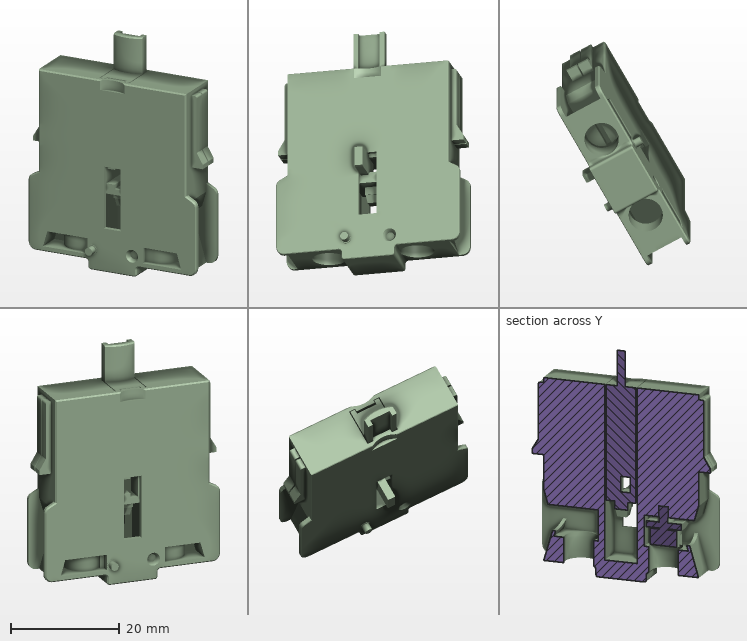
import cadquery as cq
import math

overall_depth = 14.7
body_depth = 9.1
half_depth = body_depth / 2
body_half_width = 15.3
body_top = 37.4
cheek_half_width = 17.4
cheek_thickness = 0.9
cheek_inner = half_depth - cheek_thickness
cheek_top = 17.45
cheek_shoulder = 16.3
cheek_fillet = 1.2
foot_half_width = 5.0
foot_corner = 0.5
foot_fillet = 0.6
base_z = 2.0
base_corner = 1.5
front_edge_chamfer = 0.25
back_edge_chamfer = 0.12

wall_slope = 0.29
terminal_x = 8.35
ceiling_outer_z = 15.86
chamber_roof = 12.92
chamber_floor = 7.0
chamber_inner_x = 4.6
ramp_thickness = 0.7
ramp_top = 9.3
saddle_radius = 6.6
saddle_low_z = 7.9
access_diameter = 6.3
tube_diameter = 7.0

window_bottom = 3.0
window_top = 6.05
window_outer_x = 14.3
left_window_inner_x = 5.1
right_window_inner_x = 6.4
left_step_x = 5.87
right_step_x = 8.3
left_step_depth = 1.56
right_step_depth = 1.05

channel_half_width = 3.16
channel_front_y = -3.63
channel_back_y = 3.75
channel_bottom = 3.5
tongue_half_width = 1.9
tongue_tip_y = 3.05
tongue_bottom = 34.4
slot_half_width = 1.72
slot_bottom = 8.5
slot_top = 20.6

thumb_half_width = 2.55
thumb_depth = 0.73
thumb_height = 1.93

locator_x = 4.12
locator_z = 4.0
pin_diameter = 1.5
pin_length = 1.5
pin_base_diameter = 1.9
pin_base_height = 0.12
socket_diameter = 2.5
socket_depth = 0.8

clip_half_width = 17.6
clip_bar_x = 16.33
clip_top = 36.45
clip_flare_top = 25.4
clip_flare_bottom = 23.3
clip_bottom = 22.43
clip_width = 2.05
clip_gap = 0.3
clip_fillet = 0.4

side_clearance = 0.2
end_clearance = 0.12
slider_half_width = channel_half_width - side_clearance
slider_front_y = channel_front_y + end_clearance
slider_back_y = channel_back_y - end_clearance
slider_notch_y = 2.6
slider_bottom = 15.0
pusher_top = 44.47
pusher_front_y = 1.24
pusher_arc_radius = 7.0
pusher_chamfer = 0.25
peg_half_width = 1.32
peg_taper_z = 13.5
peg_taper_half_width = 1.2
peg_tip_z = 12.0
peg_tip_half_width = 0.9
lever_width = 1.5
lever_bottom = 16.54
lever_top = 20.45
lever_tip_y = overall_depth - half_depth - pin_length
lever_tip_chamfer_y = 0.5
lever_tip_chamfer_z = 0.15
slider_window_bottom = 17.0
slider_window_top = 19.9
slider_pocket_bottom = 16.15
slider_pocket_top = 20.2

head_diameter = 5.9
head_top = 10.63
head_bottom = 7.4
head_slot_width = 1.1
head_slot_top = 9.5
shank_diameter = 3.2
shank_top = 15.0
clamp_size = 7.0
clamp_corner = 0.45
clamp_thickness = 1.24
clamp_radius = 7.5


def box_between(x_range, y_range, z_range):
    size = [high - low for low, high in (x_range, y_range, z_range)]
    corner = (x_range[0], y_range[0], z_range[0])
    return cq.Workplane("XY").box(*size, centered=False).translate(corner)


def extrude_along_y(points, y_range):
    """Solid from an outline of (x, z) points, filling the given range of Y."""
    outline = cq.Workplane("XZ", origin=(0, y_range[0], 0)).polyline(points).close()
    return outline.extrude(y_range[0] - y_range[1])


def upright_cylinder(x, diameter, z_range):
    base = cq.Workplane("XY", origin=(x, 0, z_range[0]))
    return base.circle(diameter / 2).extrude(z_range[1] - z_range[0])


def cylinder_along_x(x_range, z, radius):
    base = cq.Workplane("YZ", origin=(x_range[0], 0, z))
    return base.circle(radius).extrude(x_range[1] - x_range[0])


def mirrored(points):
    """Outline continued on the -X side, from the right half listed bottom to top."""
    return points + [(-x, z) for x, z in reversed(points)]


def housing_block():
    """The full silhouette with its rounded corners and bevelled rim."""
    right_half = [
        (foot_half_width, 0),
        (foot_half_width, base_z),
        (cheek_half_width, base_z),
        (cheek_half_width, cheek_shoulder),
        (body_half_width, cheek_top),
        (body_half_width, body_top),
    ]
    block = extrude_along_y(mirrored(right_half), (-half_depth, half_depth))
    roundings = [
        (foot_half_width, 0, foot_corner),
        (foot_half_width, base_z, foot_fillet),
        (cheek_half_width, base_z, base_corner),
        (cheek_half_width, cheek_shoulder, cheek_fillet),
    ]
    reach = 0.1
    for x, z, radius in roundings:
        for side in (-1, 1):
            corner = cq.selectors.BoxSelector(
                (side * x - reach, -half_depth, z - reach),
                (side * x + reach, half_depth, z + reach),
            )
            block = block.edges("|Y").edges(corner).fillet(radius)
    block = block.faces("<Y").edges().chamfer(front_edge_chamfer)
    return block.faces(">Y").edges().chamfer(back_edge_chamfer)


def terminal_opening():
    """Space between the cheeks at the +X end: sloped ceiling, chamber and ramp."""
    margin = 1.0
    outside_x = cheek_half_width + margin
    outside_z = cheek_top + margin
    ramp_top_x = body_half_width - (ramp_top - base_z) * wall_slope
    ceiling_inner_x = body_half_width - (ceiling_outer_z - chamber_roof) * wall_slope
    ramp_foot_x = body_half_width - (chamber_floor - base_z) * wall_slope
    between_cheeks = (-cheek_inner, cheek_inner)
    outline = [
        (outside_x, 0),
        (body_half_width, 0),
        (body_half_width, base_z),
        (ramp_top_x, ramp_top),
        (ramp_top_x - ramp_thickness, ramp_top),
        (ramp_foot_x - ramp_thickness, chamber_floor),
        (chamber_inner_x, chamber_floor),
        (chamber_inner_x, chamber_roof),
        (ceiling_inner_x, chamber_roof),
        (body_half_width, ceiling_outer_z),
        (body_half_width, outside_z),
        (outside_x, outside_z),
    ]
    opening = extrude_along_y(outline, between_cheeks)
    saddle = cylinder_along_x((terminal_x, body_half_width), saddle_low_z + saddle_radius, saddle_radius)
    saddle_limits = box_between((terminal_x, body_half_width), between_cheeks, (chamber_floor, chamber_roof))
    return opening.union(saddle.intersect(saddle_limits))


def screwdriver_access(side):
    return upright_cylinder(side * terminal_x, access_diameter, (0, chamber_floor))


def window_pocket(side, inner_x, step_x, step_depth):
    """Front window: deep outside the screwdriver tube, shallow on its inner side."""
    top_x = window_outer_x - (window_top - window_bottom) * wall_slope
    deep_outline = [
        (side * step_x, window_bottom),
        (side * window_outer_x, window_bottom),
        (side * top_x, window_top),
        (side * step_x, window_top),
    ]
    deep = extrude_along_y(deep_outline, (-half_depth, 0))
    x_range = sorted((side * inner_x, side * step_x))
    step = box_between(x_range, (-half_depth, step_depth - half_depth), (window_bottom, window_top))
    tube = upright_cylinder(side * terminal_x, tube_diameter, (window_bottom, window_top))
    return deep.union(step).cut(tube)


def slider_channel():
    """Upright channel, narrowed near the top by a guiding tongue on both long sides."""
    channel = box_between(
        (-channel_half_width, channel_half_width),
        (channel_front_y, channel_back_y),
        (channel_bottom, body_top),
    )
    for y_range in ((channel_front_y, -tongue_tip_y), (tongue_tip_y, channel_back_y)):
        tongue = box_between((-tongue_half_width, tongue_half_width), y_range, (tongue_bottom, body_top))
        channel = channel.cut(tongue)
    return channel


def thumb_reliefs():
    radius = (thumb_half_width**2 + thumb_depth**2) / (2 * thumb_depth)
    center_y = half_depth - thumb_depth + radius
    floor = cq.Workplane("XY", origin=(0, 0, body_top - thumb_height))
    return floor.pushPoints([(0, -center_y), (0, center_y)]).circle(radius).extrude(thumb_height)


def locator_plane(face):
    """Plane on the front (-1) or back (+1) face whose extrusions point outwards."""
    origin = (face * locator_x, face * half_depth, locator_z)
    return cq.Plane(origin=origin, xDir=(1, 0, 0), normal=(0, face, 0))


def locating_pin(face):
    base = cq.Workplane(locator_plane(face)).circle(pin_base_diameter / 2).extrude(pin_base_height)
    pin = cq.Workplane(locator_plane(face)).circle(pin_diameter / 2).extrude(pin_length)
    return base.union(pin)


def locating_socket(face):
    """Conical socket in the other half of the face, matching the pin diameter at its floor."""
    mouth = cq.Workplane(locator_plane(face)).circle(socket_diameter / 2)
    cone_angle = math.degrees(math.atan((socket_diameter - pin_diameter) / 2 / socket_depth))
    socket = mouth.extrude(-socket_depth, taper=cone_angle)
    return socket.translate((-2 * face * locator_x, 0, 0))


def side_clip(side, y_low):
    outline = [
        (body_half_width, clip_bottom),
        (clip_half_width, clip_bottom),
        (clip_half_width, clip_flare_bottom),
        (clip_bar_x, clip_flare_top),
        (clip_bar_x, clip_top),
        (body_half_width, clip_top),
    ]
    clip = extrude_along_y([(side * x, z) for x, z in outline], (y_low, y_low + clip_width))
    outer_top_edge = clip.faces(">Z").edges("|Y").edges(">X" if side > 0 else "<X")
    return outer_top_edge.fillet(clip_fillet)


def make_housing():
    housing = housing_block()
    opening = terminal_opening()
    housing = housing.cut(opening).cut(opening.mirror("YZ"))
    for side, inner_x, step_x, step_depth in (
        (-1, left_window_inner_x, left_step_x, left_step_depth),
        (1, right_window_inner_x, right_step_x, right_step_depth),
    ):
        housing = housing.cut(window_pocket(side, inner_x, step_x, step_depth))
        housing = housing.cut(screwdriver_access(side))
        for y_low in (clip_gap / 2, -clip_gap / 2 - clip_width):
            housing = housing.union(side_clip(side, y_low))
    slot = box_between(
        (-slot_half_width, slot_half_width), (-half_depth, half_depth), (slot_bottom, slot_top)
    )
    housing = housing.cut(slider_channel()).cut(slot).cut(thumb_reliefs())
    for face in (-1, 1):
        housing = housing.union(locating_pin(face)).cut(locating_socket(face))
    screw_hole = upright_cylinder(-terminal_x, shank_diameter, (chamber_roof, shank_top))
    return housing.cut(screw_hole)


def pusher():
    """Finger tab above the housing, with a bowed front face."""
    corner_y = pusher_front_y + pusher_arc_radius - math.sqrt(pusher_arc_radius**2 - slider_half_width**2)
    tab = (
        cq.Workplane("XY", origin=(0, 0, body_top))
        .moveTo(slider_half_width, slider_back_y)
        .lineTo(slider_half_width, corner_y)
        .threePointArc((0, pusher_front_y), (-slider_half_width, corner_y))
        .lineTo(-slider_half_width, slider_back_y)
        .close()
        .extrude(pusher_top - body_top)
    )
    return tab.faces(">Z").edges("%CIRCLE").chamfer(pusher_chamfer)


def spring_peg():
    straight = box_between(
        (-peg_half_width, peg_half_width), (-peg_half_width, peg_half_width), (peg_taper_z, slider_bottom)
    )
    tapered = (
        cq.Workplane("XY", origin=(0, 0, peg_taper_z))
        .rect(2 * peg_taper_half_width, 2 * peg_taper_half_width)
        .workplane(offset=peg_tip_z - peg_taper_z)
        .rect(2 * peg_tip_half_width, 2 * peg_tip_half_width)
        .loft()
    )
    return straight.union(tapered)


def lever():
    """Arm reaching out through the slot in the back of the housing."""
    arm = box_between((0, lever_width), (0, lever_tip_y), (lever_bottom, lever_top))
    tip_edges = arm.faces(">Y").edges("|X")
    return tip_edges.chamfer(lever_tip_chamfer_z, lever_tip_chamfer_y)


def make_slider():
    across = (-slider_half_width, slider_half_width)
    slider = box_between(across, (slider_front_y, slider_back_y), (slider_bottom, body_top))
    slider = slider.union(pusher())
    notch_bottom = tongue_bottom - end_clearance
    notch_half_width = tongue_half_width + end_clearance
    for y_range in ((slider_front_y, -slider_notch_y), (slider_notch_y, slider_back_y)):
        notch = box_between((-notch_half_width, notch_half_width), y_range, (notch_bottom, pusher_top))
        slider = slider.cut(notch)
    window = box_between(
        (-slot_half_width, 0),
        (slider_front_y, slider_back_y),
        (slider_window_bottom, slider_window_top),
    )
    pocket = box_between(
        (0, lever_width), (slider_front_y, 0), (slider_pocket_bottom, slider_pocket_top)
    )
    return slider.cut(window).cut(pocket).union(lever()).union(spring_peg())


def saddle_clamp():
    """Square washer curved about the X axis, bowed downwards."""
    x_range = (-terminal_x - clamp_size / 2, -terminal_x + clamp_size / 2)
    axis_z = head_top + clamp_radius
    blank = box_between(x_range, (-clamp_size / 2, clamp_size / 2), (head_top, chamber_roof))
    blank = blank.edges("|Z").chamfer(clamp_corner)
    underside = cylinder_along_x(x_range, axis_z, clamp_radius)
    upper_side = cylinder_along_x(x_range, axis_z + clamp_thickness, clamp_radius)
    return blank.intersect(underside).cut(upper_side)


def make_terminal_screw():
    head = upright_cylinder(-terminal_x, head_diameter, (head_bottom, head_top))
    slot = box_between(
        (-terminal_x - head_diameter / 2, -terminal_x + head_diameter / 2),
        (-head_slot_width / 2, head_slot_width / 2),
        (head_bottom, head_slot_top),
    )
    shank = upright_cylinder(-terminal_x, shank_diameter, (head_top, shank_top))
    return head.cut(slot).union(shank).union(saddle_clamp())


housing = make_housing().solids()
slider = make_slider().solids()
terminal_screw = make_terminal_screw().solids()

result = cq.Compound.makeCompound([housing.val(), slider.val(), terminal_screw.val()])